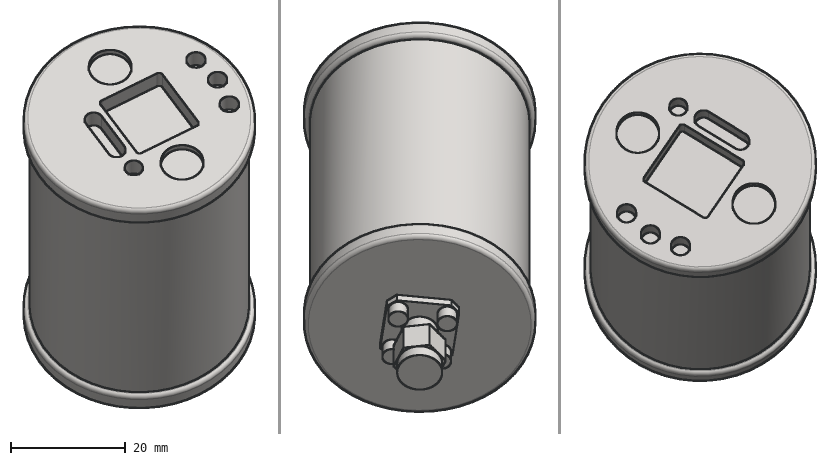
import cadquery as cq
import math

overall_height = 71.37
cap_diameter = 40.44
cap_thickness = 3.81
cap_edge_radius = 0.76
can_diameter = 38.35

deep_recess_depth = cap_thickness
window_width = 13.3
window_length = 12.6
window_center_y = 2.06
window_corner_radius = 0.64

button_diameter = 7.49
button_depth = 1.27
button_offset_x = 12.07
button_center_y = 1.4

lamp_hole_diameter = 3.37
lamp_circle_radius = 16.0
lamp_angle_step = 20.5

slot_length = 10.8
slot_width = 3.17
slot_center_y = -6.98

side_hole_diameter = 3.17
side_hole_center = (8.7, -6.42)

flange_side = 12.7
flange_flat_distance = 7.87
flange_thickness = 1.52

screw_head_diameter = 3.43
screw_head_height = 2.6
screw_square_pitch = 8.64
screw_count = 4

barrel_diameter = 6.35
barrel_length = 3.3
nut_across_flats = 7.94
nut_height = 5.64
tip_diameter = 7.87
tip_length = 2.4

connector_length = flange_thickness + barrel_length + nut_height + tip_length
housing_height = overall_height - connector_length


def make_cap(bottom_z):
    """Disc with both rims rounded."""
    cap = cq.Workplane("XY").workplane(offset=bottom_z).circle(cap_diameter / 2).extrude(cap_thickness)
    return cap.edges().fillet(cap_edge_radius)


def top_sketch():
    """Work plane on the top face of the housing."""
    return cq.Workplane("XY").workplane(offset=housing_height)


def make_window():
    window = top_sketch().center(0, window_center_y).rect(window_width, window_length)
    return window.extrude(-deep_recess_depth).edges("|Z").fillet(window_corner_radius)


def make_button_recesses():
    centers = [(side * button_offset_x, button_center_y) for side in (-1, 1)]
    return top_sketch().pushPoints(centers).circle(button_diameter / 2).extrude(-button_depth)


def make_lamp_holes():
    """Three holes on an arc about the housing axis, the middle one on +Y."""
    angles = [math.radians(step * lamp_angle_step) for step in (-1, 0, 1)]
    centers = [(lamp_circle_radius * math.sin(a), lamp_circle_radius * math.cos(a)) for a in angles]
    return top_sketch().pushPoints(centers).circle(lamp_hole_diameter / 2).extrude(-deep_recess_depth)


def make_slot():
    return top_sketch().center(0, slot_center_y).slot2D(slot_length, slot_width).extrude(-deep_recess_depth)


def make_side_hole():
    return top_sketch().center(*side_hole_center).circle(side_hole_diameter / 2).extrude(-deep_recess_depth)


def make_housing():
    can_height = housing_height - 2 * cap_thickness
    can = cq.Workplane("XY").workplane(offset=cap_thickness).circle(can_diameter / 2).extrude(can_height)
    body = can.union(make_cap(0)).union(make_cap(housing_height - cap_thickness))
    recesses = [make_window(), make_button_recesses(), make_lamp_holes(), make_slot(), make_side_hole()]
    for recess in recesses:
        body = body.cut(recess)
    return body


def make_flange():
    """Square plate with its truncated corners pointing along X and Y."""
    diamond = cq.Workplane("XY").rect(flange_side, flange_side).extrude(-flange_thickness)
    diamond = diamond.rotate((0, 0, 0), (0, 0, 1), 45)
    trim = cq.Workplane("XY").rect(2 * flange_flat_distance, 2 * flange_flat_distance)
    return diamond.intersect(trim.extrude(-flange_thickness))


def make_connector():
    screw_circle_radius = screw_square_pitch / math.sqrt(2)
    nut_across_corners = nut_across_flats / math.cos(math.pi / 6)

    flange = make_flange()
    below_flange = flange.faces("<Z").workplane(origin=(0, 0, 0))
    screws = below_flange.polarArray(screw_circle_radius, 0, 360, screw_count)
    body = screws.circle(screw_head_diameter / 2).extrude(screw_head_height)

    barrel_top = -flange_thickness
    nut_top = barrel_top - barrel_length
    tip_top = nut_top - nut_height
    barrel = cq.Workplane("XY").workplane(offset=barrel_top).circle(barrel_diameter / 2)
    barrel = barrel.extrude(-barrel_length)
    nut = cq.Workplane("XY").workplane(offset=nut_top).polygon(6, nut_across_corners).extrude(-nut_height)
    tip = cq.Workplane("XY").workplane(offset=tip_top).circle(tip_diameter / 2).extrude(-tip_length)
    return body.union(barrel).union(nut).union(tip)


housing = make_housing()
connector = make_connector()
result = cq.Compound.makeCompound([housing.solids().val(), connector.solids().val()])